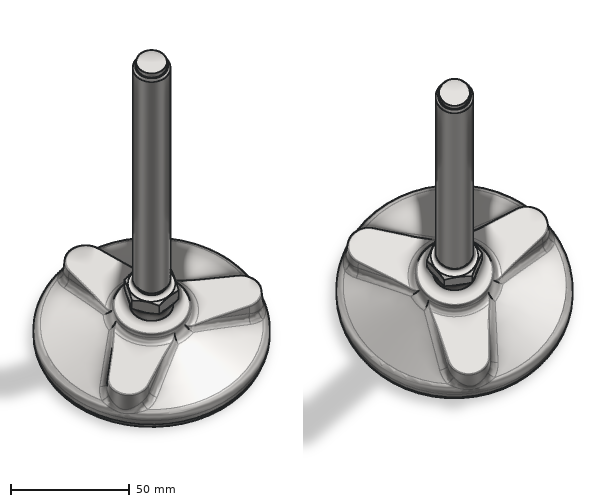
import cadquery as cq
import math

PLATE_RADIUS = 50.0
PLATE_BOTTOM_RADIUS = 49.1
RIM_LOW_HEIGHT = 2.7
RIM_HIGH_HEIGHT = 5.4
RIM_ROUND = 4.0
CONE_ANGLE = math.radians(15.9)
CONE_OUTER_RADIUS = PLATE_RADIUS - RIM_ROUND * (1 - math.sin(CONE_ANGLE))
CONE_OUTER_HEIGHT = RIM_HIGH_HEIGHT + RIM_ROUND * math.cos(CONE_ANGLE)

COLLAR_RADIUS = 16.2
COLLAR_TOP = 22.3
COLLAR_DRAFT = math.radians(10.0)
CONE_FLARE = 6.0
RIB_FLARE = 3.4
COLLAR_EDGE_FILLET = 0.4

RIB_COUNT = 3
RIB_TOP = 18.4
RIB_STOCK_HEIGHT = 33.45
RIB_TIP_REACH = 47.9
RIB_TIP_RADIUS = 8.9
RIB_SIDE_ANGLE = math.radians(8.0)
RIB_DRAFT = 5.0
RIB_FILLET = 3.6
RIB_EDGE_FILLET = 0.5

NECK_FOOT_RADIUS = 18.5 / 2
NECK_RADIUS = 14.3 / 2
NECK_CONE_TOP = 26.0
HEX_BOTTOM = 28.3
HEX_TOP = 35.8
HEX_ACROSS_FLATS = 20.5
HEX_CHAMFER_RADIUS = 10.0
HEX_CHAMFER_ANGLE = math.radians(30)
STUD_RADIUS = 16.0 / 2
STUD_END_RADIUS = 13.0 / 2
STUD_CHAMFER_RADIUS = 7.0
STUD_CHAMFER = 1.2
UNDERCUT_TOP = 37.7
TIP_LENGTH = 2.7
TOTAL_HEIGHT = 180.88

TOLERANCE = 0.001


def cone_height(radius):
    return CONE_OUTER_HEIGHT + (CONE_OUTER_RADIUS - radius) * math.tan(CONE_ANGLE)


def revolve(profile):
    return profile.close().revolve(360, (0, 0, 0), (0, 1, 0))


def flare_points(radius, floor_angle, floor_height_at_axis):
    """Start, middle and end of the blend from the collar wall to a floor falling outwards."""
    wall_normal = (math.cos(COLLAR_DRAFT), math.sin(COLLAR_DRAFT))
    floor_normal = (math.sin(floor_angle), math.cos(floor_angle))
    wall_offset = COLLAR_RADIUS * wall_normal[0] + COLLAR_TOP * wall_normal[1] + radius
    floor_offset = floor_height_at_axis * floor_normal[1] + radius
    det = wall_normal[0] * floor_normal[1] - wall_normal[1] * floor_normal[0]
    center_r = (wall_offset * floor_normal[1] - wall_normal[1] * floor_offset) / det
    center_z = (wall_normal[0] * floor_offset - floor_normal[0] * wall_offset) / det
    middle = (wall_normal[0] + floor_normal[0], wall_normal[1] + floor_normal[1])
    length = math.hypot(*middle)
    middle_normal = (middle[0] / length, middle[1] / length)
    return [
        (center_r - radius * n[0], center_z - radius * n[1])
        for n in (wall_normal, middle_normal, floor_normal)
    ]


def rim_profile():
    """Outline from the axis along the bottom and up the rim to the outer edge of the cone."""
    return (
        cq.Workplane("XZ")
        .lineTo(PLATE_BOTTOM_RADIUS, 0)
        .lineTo(PLATE_RADIUS, RIM_LOW_HEIGHT)
        .lineTo(PLATE_RADIUS, RIM_HIGH_HEIGHT)
        .tangentArcPoint((CONE_OUTER_RADIUS, CONE_OUTER_HEIGHT), relative=False)
    )


def make_cone():
    return revolve(rim_profile().lineTo(0, cone_height(0)))


def make_plate():
    wall, middle, floor = flare_points(CONE_FLARE, CONE_ANGLE, cone_height(0))
    plate = revolve(
        rim_profile()
        .lineTo(*floor)
        .threePointArc(middle, wall)
        .lineTo(COLLAR_RADIUS, COLLAR_TOP)
        .lineTo(0, COLLAR_TOP)
    )
    return plate.faces(">Z").edges().fillet(COLLAR_EDGE_FILLET)


def make_rib_ceiling():
    """Everything that the top of the ribs may fill: a flat top that flares up to the collar."""
    wall, middle, floor = flare_points(RIB_FLARE, 0, RIB_TOP)
    return revolve(
        cq.Workplane("XZ")
        .lineTo(PLATE_RADIUS, 0)
        .lineTo(PLATE_RADIUS, RIB_TOP)
        .lineTo(*floor)
        .threePointArc(middle, wall)
        .lineTo(0, wall[1])
    )


def make_rib():
    """One tapered rib along +Y, left taller than the finished rib."""
    spread = (RIB_TOP - RIM_HIGH_HEIGHT) * math.tan(math.radians(RIB_DRAFT))
    tip_center = RIB_TIP_REACH - RIB_TIP_RADIUS
    tip_radius = RIB_TIP_RADIUS + spread
    tangent_x = tip_radius * math.cos(RIB_SIDE_ANGLE)
    tangent_y = tip_center + tip_radius * math.sin(RIB_SIDE_ANGLE)
    root_x = tangent_x + tangent_y * math.tan(RIB_SIDE_ANGLE)
    return (
        cq.Workplane("XY", origin=(0, 0, RIM_HIGH_HEIGHT))
        .moveTo(-root_x, 0)
        .lineTo(root_x, 0)
        .lineTo(tangent_x, tangent_y)
        .threePointArc((0, tip_center + tip_radius), (-tangent_x, tangent_y))
        .close()
        .extrude(RIB_STOCK_HEIGHT, taper=RIB_DRAFT)
    )


def make_ribbed_cone():
    """The cone with all ribs, blended at their feet, trimmed under the ceiling and edge-rounded."""
    ribbed = make_cone()
    rib = make_rib()
    for index in range(RIB_COUNT):
        ribbed = ribbed.union(rib.rotate((0, 0, 0), (0, 0, 1), index * 360 / RIB_COUNT))
    foot_edges = [
        edge
        for edge in ribbed.edges().vals()
        if edge.geomType() in ("HYPERBOLA", "BSPLINE") and edge.Center().z < RIB_TOP
    ]
    trimmed = ribbed.newObject(foot_edges).fillet(RIB_FILLET).intersect(make_rib_ceiling())
    top_edges = [
        edge
        for edge in trimmed.edges().vals()
        if abs(edge.Center().z - RIB_TOP) < TOLERANCE
        and math.hypot(edge.Center().x, edge.Center().y) > CONE_OUTER_RADIUS / 2
    ]
    return trimmed.newObject(top_edges).fillet(RIB_EDGE_FILLET)


def make_hexagon():
    """Hexagon with its corners chamfered by a shallow cone at both ends."""
    corner_radius = HEX_ACROSS_FLATS / 2 / math.cos(math.pi / 6)
    height = HEX_TOP - HEX_BOTTOM
    prism = (
        cq.Workplane("XY", origin=(0, 0, HEX_BOTTOM))
        .polygon(6, 2 * corner_radius)
        .extrude(height)
    )
    chamfer_width = corner_radius - HEX_CHAMFER_RADIUS
    chamfer_height = chamfer_width * math.tan(HEX_CHAMFER_ANGLE)
    turned_blank = (
        cq.Workplane("XY", origin=(0, 0, HEX_BOTTOM))
        .circle(corner_radius)
        .extrude(height)
        .edges()
        .chamfer(chamfer_height, chamfer_width)
    )
    return prism.intersect(turned_blank)


def make_stud():
    shoulder = TOTAL_HEIGHT - TIP_LENGTH
    return revolve(
        cq.Workplane("XZ")
        .moveTo(0, COLLAR_TOP)
        .lineTo(NECK_FOOT_RADIUS, COLLAR_TOP)
        .lineTo(NECK_RADIUS, NECK_CONE_TOP)
        .lineTo(NECK_RADIUS, HEX_BOTTOM)
        .lineTo(STUD_END_RADIUS, HEX_BOTTOM)
        .lineTo(STUD_END_RADIUS, UNDERCUT_TOP)
        .lineTo(STUD_CHAMFER_RADIUS, UNDERCUT_TOP)
        .lineTo(STUD_RADIUS, UNDERCUT_TOP + STUD_CHAMFER)
        .lineTo(STUD_RADIUS, shoulder - STUD_CHAMFER)
        .lineTo(STUD_CHAMFER_RADIUS, shoulder)
        .lineTo(STUD_END_RADIUS, shoulder)
        .lineTo(STUD_END_RADIUS, TOTAL_HEIGHT)
        .lineTo(0, TOTAL_HEIGHT)
    )


result = make_ribbed_cone().union(make_plate()).union(make_stud()).union(make_hexagon())